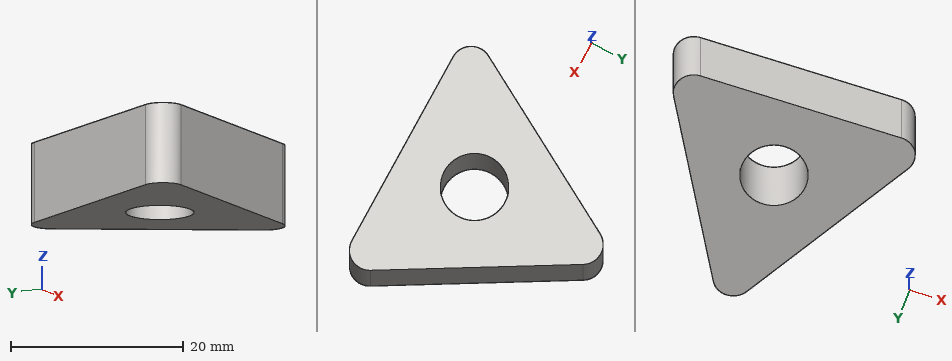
import cadquery as cq
import math

overall_width = 29.5
thickness = 9.53
corner_radius = 2.4
hole_diameter = 7.95

corner_spacing = overall_width - 2 * corner_radius
corner_distance = corner_spacing / math.sqrt(3)

corner_angles = [90, 210, 330]
corner_centres = [
    (
        corner_distance * math.cos(math.radians(angle)),
        corner_distance * math.sin(math.radians(angle)),
    )
    for angle in corner_angles
]

body = (
    cq.Workplane("XY")
    .polyline(corner_centres)
    .close()
    .offset2D(corner_radius, "arc")
    .extrude(thickness)
)

result = body.faces(">Z").workplane(origin=(0, 0, thickness)).hole(hole_diameter)